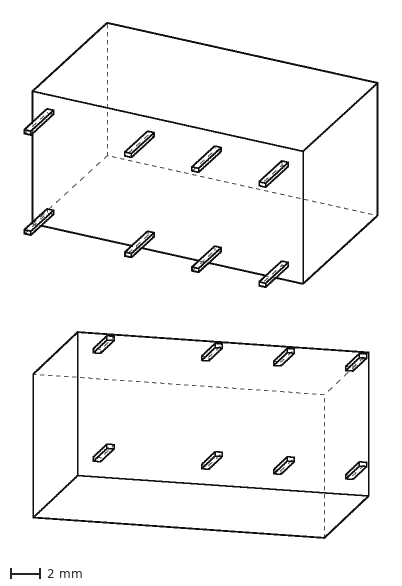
import cadquery as cq

body_length = 20.5
body_depth = 11.5
body_height = 10.1

pin_length = 3.5
pin_width = 0.5
pin_thickness = 0.3
grid_pitch = 2.54
row_spacing = 3 * grid_pitch
pin_grid_steps = (0, 3, 5, 7)
first_pin_x = -max(pin_grid_steps) * grid_pitch / 2


def make_body():
    """Plain box centred on X and Z, with its pin face on Y = 0."""
    return cq.Workplane("XY").box(
        body_length, body_depth, body_height, centered=(True, False, True)
    )


def make_pins():
    """Two rows of pins running from the pin face toward -Y."""
    positions = []
    for z in (-row_spacing / 2, row_spacing / 2):
        for step in pin_grid_steps:
            positions.append((first_pin_x + step * grid_pitch, z))
    return (
        cq.Workplane("XZ")
        .pushPoints(positions)
        .rect(pin_width, pin_thickness)
        .extrude(pin_length)
    )


result = make_body().union(make_pins())